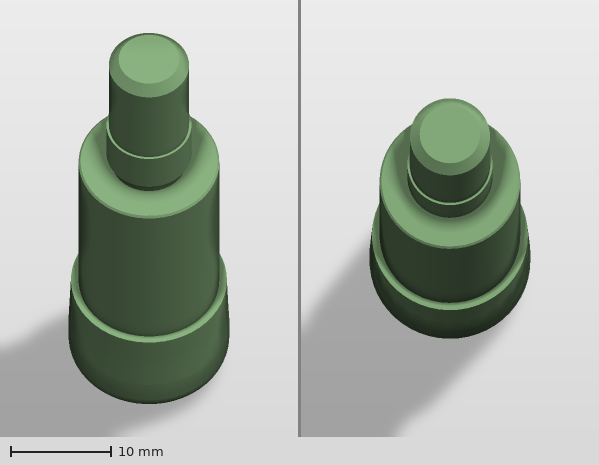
import cadquery as cq
import math

total_height = 49.0
cap_height = 12.05
barrel_top = 32.0
collar_bottom = 33.35
collar_top = 38.0

barrel_diameter = 14.0
barrel_chamfer = 0.2
neck_diameter = 7.5
collar_diameter = 8.5
stud_diameter = 8.0
stud_chamfer = 1.0

cap_diameter = 16.0
cap_rim_diameter = 15.55
band_bottom = 2.75
band_top = 5.3
foot_round = 2.05


def cylinder_between(diameter, bottom, top):
    """Cylinder on the Z axis from bottom to top."""
    return cq.Workplane("XY").workplane(offset=bottom).circle(diameter / 2).extrude(top - bottom)


def make_cap():
    """Solid cap of revolution with a domed, rounded foot and a tapered upper wall."""
    cap_radius = cap_diameter / 2
    rim_radius = cap_rim_diameter / 2

    round_center = cap_radius - foot_round
    dome_radius = (round_center**2 + band_bottom**2 - foot_round**2) / (2 * (band_bottom - foot_round))
    dome_angle = math.asin(round_center / (dome_radius - foot_round))
    dome_edge = (dome_radius * math.sin(dome_angle), dome_radius * (1 - math.cos(dome_angle)))
    dome_middle = (
        dome_radius * math.sin(dome_angle / 2),
        dome_radius * (1 - math.cos(dome_angle / 2)),
    )
    round_angle = (math.pi / 2 - dome_angle) / 2
    round_middle = (
        round_center + foot_round * math.cos(round_angle),
        band_bottom - foot_round * math.sin(round_angle),
    )

    return (
        cq.Workplane("XZ")
        .moveTo(0, 0)
        .threePointArc(dome_middle, dome_edge)
        .threePointArc(round_middle, (cap_radius, band_bottom))
        .lineTo(cap_radius, band_top)
        .lineTo(rim_radius, cap_height)
        .lineTo(0, cap_height)
        .close()
        .revolve(360, (0, 0), (0, 1))
    )


def make_post():
    """Barrel resting on the cap, with a necked stud and collar above it."""
    barrel = cylinder_between(barrel_diameter, cap_height, barrel_top)
    barrel = barrel.faces(">Z").chamfer(barrel_chamfer)
    neck = cylinder_between(neck_diameter, barrel_top, collar_bottom)
    collar = cylinder_between(collar_diameter, collar_bottom, collar_top)
    stud = cylinder_between(stud_diameter, collar_top, total_height)
    stud = stud.faces(">Z").chamfer(stud_chamfer)
    return barrel.union(neck).union(collar).union(stud)


cap = make_cap()
post = make_post()

result = cq.Compound.makeCompound([cap.val(), post.val()])